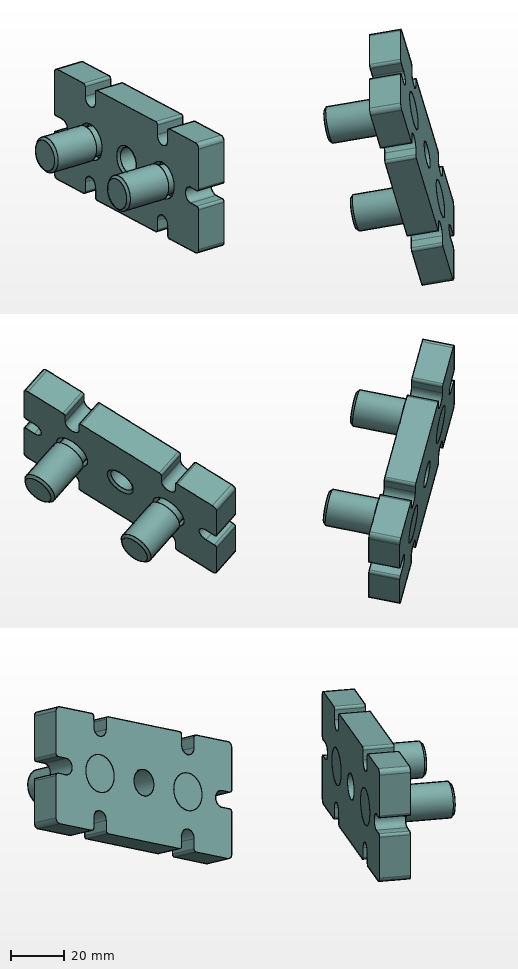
import cadquery as cq

plate_length = 90.0
plate_height = plate_length / 2
plate_thickness = 12.0
corner_radius = 2.0

slot_width = 6.4
slot_depth = 8.2
slot_lip_radius = 1.1

center_hole_diameter = 10.2
center_rim_diameter = 12.15

pin_spacing = plate_length / 2
total_depth = 33.3
shank_diameter = 14.5
shank_recess = 3.6
neck_diameter = 11.6
neck_exposed = 2.3
pin_diameter = 13.95
pin_tip_chamfer = 1.0

pin_reach = total_depth - plate_thickness
pin_positions = [-pin_spacing / 2, pin_spacing / 2]


def cylinder_along_y(x, y_start, y_end, diameter):
    """Round bar centred at (x, z = 0), running from y_start to y_end."""
    axis = cq.Vector(0, 1, 0)
    return cq.Workplane(cq.Solid.makeCylinder(
        diameter / 2, y_end - y_start, cq.Vector(x, y_start, 0), axis))


def make_blank():
    """Rectangular plate with rounded outer corners."""
    return (
        cq.Workplane("XY")
        .box(plate_length, plate_thickness, plate_height)
        .translate((0, plate_thickness / 2, 0))
        .edges("|Y")
        .fillet(corner_radius)
    )


def slot_cutter():
    """Slot opening upward at the origin, its mouth flared by the rounded lips."""
    half_width = slot_width / 2
    mouth_half_width = half_width + slot_lip_radius
    arc_start = half_width - slot_depth
    lip_sag = slot_lip_radius * (1 - 0.5 ** 0.5)
    profile = (
        cq.Workplane("XZ")
        .moveTo(-mouth_half_width, 0)
        .threePointArc((-half_width - lip_sag, -lip_sag), (-half_width, -slot_lip_radius))
        .lineTo(-half_width, arc_start)
        .threePointArc((0, -slot_depth), (half_width, arc_start))
        .lineTo(half_width, -slot_lip_radius)
        .threePointArc((half_width + lip_sag, -lip_sag), (mouth_half_width, 0))
        .close()
    )
    return profile.extrude(-plate_thickness)


def center_hole_cutter():
    """Central through-hole cutter with a 45 degree countersink at the front face."""
    hole_radius = center_hole_diameter / 2
    rim_radius = center_rim_diameter / 2
    sink = cq.Workplane(cq.Solid.makeCone(
        rim_radius, hole_radius, rim_radius - hole_radius, cq.Vector(0, 0, 0), cq.Vector(0, 1, 0)))
    return cylinder_along_y(0, 0, plate_thickness, center_hole_diameter).union(sink)


def make_plate():
    plate = make_blank()

    upright_slot = slot_cutter().translate((0, 0, plate_height / 2))
    for x in pin_positions:
        for turn in (0, 180):
            slot = upright_slot.rotate((0, 0, 0), (0, 1, 0), turn).translate((x, 0, 0))
            plate = plate.cut(slot)

    end_slot = slot_cutter().translate((0, 0, plate_length / 2))
    for turn in (-90, 90):
        plate = plate.cut(end_slot.rotate((0, 0, 0), (0, 1, 0), turn))

    plate = plate.cut(center_hole_cutter())
    for x in pin_positions:
        plate = plate.cut(cylinder_along_y(x, 0, plate_thickness, shank_diameter))
    return plate


def make_pin(x):
    """Pin with a chamfered tip, a narrower neck and a shank flush with the plate's back face."""
    body = (
        cylinder_along_y(x, -pin_reach, -neck_exposed, pin_diameter)
        .faces("<Y")
        .chamfer(pin_tip_chamfer)
    )
    neck = cylinder_along_y(x, -neck_exposed, shank_recess, neck_diameter)
    shank = cylinder_along_y(x, shank_recess, plate_thickness, shank_diameter)
    return body.union(neck).union(shank)


plate = make_plate()
pins = [make_pin(x) for x in pin_positions]

result = cq.Compound.makeCompound([plate.val(), *[pin.val() for pin in pins]])